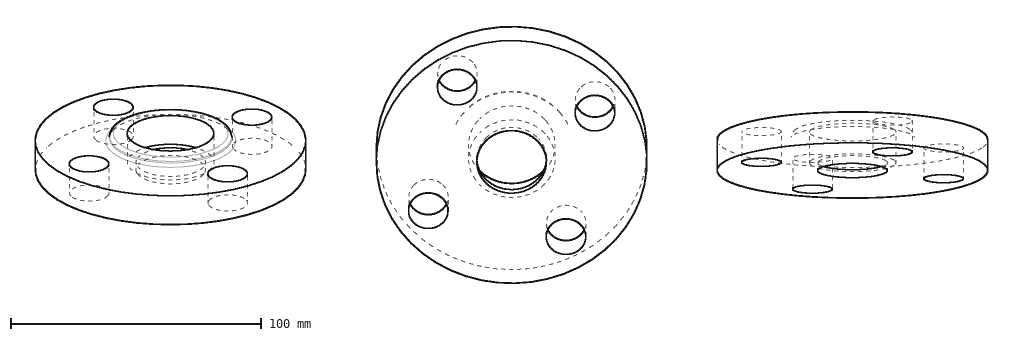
import cadquery as cq
import math

flange_diameter = 107.9
plate_thickness = 12.6
total_height = 15.8

hub_height = total_height - plate_thickness
hub_mid_radius = 24.4
hub_draft_angle = 10.0
hub_edge_radius = 1.5

socket_diameter = 34.5
socket_depth = 12.5
bore_diameter = 27.7

bolt_count = 4
bolt_circle_diameter = 79.3
bolt_hole_diameter = 15.8


def flange_with_hub():
    """Round plate carrying the conical hub, with both hub edges rounded."""
    half_spread = hub_height / 2 * math.tan(math.radians(hub_draft_angle))
    root_radius = hub_mid_radius + half_spread
    rim_radius = hub_mid_radius - half_spread
    body = (
        cq.Workplane("XZ")
        .moveTo(0, 0)
        .lineTo(flange_diameter / 2, 0)
        .lineTo(flange_diameter / 2, plate_thickness)
        .lineTo(root_radius, plate_thickness)
        .lineTo(rim_radius, total_height)
        .lineTo(0, total_height)
        .close()
        .revolve(360, (0, 0, 0), (0, 1, 0))
    )
    plate_top_edges = body.faces("+Z").faces("<Z").edges()
    body = plate_top_edges.edges(cq.selectors.RadiusNthSelector(0)).fillet(hub_edge_radius)
    return body.faces(">Z").edges().fillet(hub_edge_radius)


def central_opening():
    """Through bore topped by the pipe socket."""
    bore = cq.Workplane("XY").circle(bore_diameter / 2).extrude(total_height)
    socket = (
        cq.Workplane("XY")
        .workplane(offset=total_height - socket_depth)
        .circle(socket_diameter / 2)
        .extrude(socket_depth)
    )
    return bore.union(socket)


def bolt_holes():
    """Through holes evenly spaced on the bolt circle, the first on +X."""
    return (
        cq.Workplane("XY")
        .polarArray(bolt_circle_diameter / 2, 0, 360, bolt_count)
        .circle(bolt_hole_diameter / 2)
        .extrude(plate_thickness)
    )


result = flange_with_hub().cut(central_opening()).cut(bolt_holes())